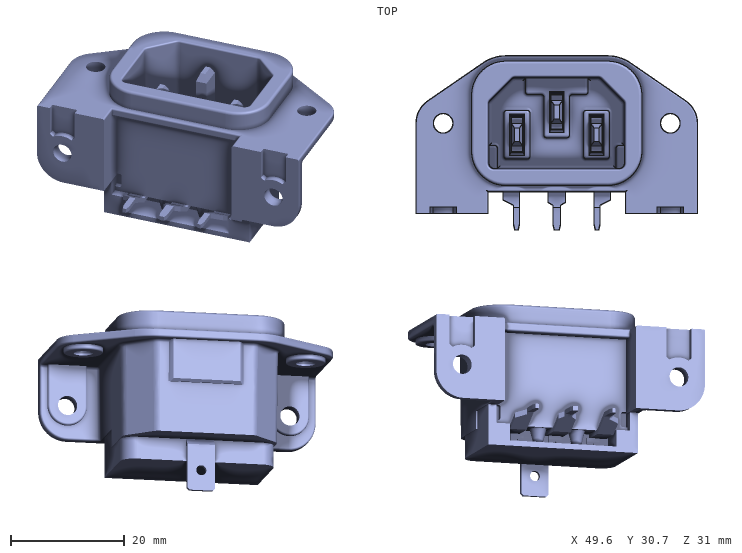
import cadquery as cq
import math


tolerance = 0.01

flange_width = 49.6
flange_thickness = 1.5
flange_edge_radius = 0.3
flange_back_margin = 0.95
tab_front_y = -15.9
tab_thickness = 1.75
tab_height = 14.8
tab_corner_radius = 5.0
tab_gap_width = 24.2
tab_gap_back_y = -12.05
tab_back_y = tab_front_y + tab_thickness

hole_x = 20.0
flange_hole_diameter = 3.4
tab_hole_diameter = 3.45
tab_hole_z = -8.78
pad_diameter = 7.0
pad_thickness = 0.9
tab_pad_thickness = 0.65
pad_edge_radius = 0.3
nut_slot_width = 4.7
nut_slot_depth = 1.2
nut_slot_side_z = -5.3
nut_slot_floor_half_width = 1.75

rim_height = 3.5
rim_length = 30.0
rim_width = 21.9
rim_corner_radius = 6.0
rim_edge_radius = 0.5

shell_width = 28.3
shell_back_y = 10.05
shell_front_y = -10.0
shell_height = 18.05
shell_draft = 0.7
shell_chamfer = 5.2
shell_back_radius = 1.6
shell_side_radius = 2.3
joint_radius = 0.5
latch_width = 12.0
latch_depth = 0.65
latch_bottom_z = -9.05
latch_step = 0.45

cavity_length = 24.2
cavity_width = 16.3
cavity_draft = 0.7
cavity_floor_z = -13.0
cavity_chamfer = 4.4
cavity_chamfer_radius = 1.0
cavity_corner_radius = 1.1
cavity_edge_radius = 0.3
floor_radius = 0.5

island_height = 1.0
island_corner_radius = 0.5
island_edge_radius = 0.45
line_island_width = 4.55
line_island_depth = 8.6
earth_island_head_width = 11.0
earth_island_head_y = 5.05
earth_island_stem_width = 4.5
earth_island_stem_y = -2.55
corner_island_inner_x = 10.45
corner_island_back_y = -3.9

base_width = 27.6
base_bottom_z = -22.0
base_front_y = -11.6
base_back_y = 4.4
base_corner_radius = 2.5
cheek_inner_x = 12.35
cheek_back_y = -5.05
cheek_gap = 0.35
plug_front_y = -8.4
plug_back_y = 5.2
lock_notch_width = 1.25
lock_notch_top_z = -14.5
lock_notch_bottom_z = -17.2
lock_notch_depth = 0.8
lock_notch_radius = 0.4

recess_width = 19.65
recess_floor_z = -21.05
recess_back_y = -6.5
upper_recess_width = 13.0
upper_recess_height = 0.85
upper_recess_depth = 0.6
post_x = 3.55
post_y = -8.0
post_top_diameter = 3.0
post_bottom_diameter = 1.5
post_bottom_z = -20.9
root_plate_width = 2.3
root_plate_bottom_z = -20.6
root_plate_proud = 0.3
root_notch_width = 1.3
root_notch_height = 0.8

line_pin_x = 7.0
line_pin_y = -2.0
earth_pin_y = 2.0
pin_thickness = 2.0
pin_width = 4.0
pin_tip_thickness = 0.9
pin_tip_width = 2.4
pin_tip_height = 1.4
line_pin_top_z = -0.25
earth_pin_top_z = 2.7
pin_root_width = 6.0
pin_root_top_z = -12.6
pin_slot_width = 2.6
pin_slot_length = 7.25
pin_slot_bottom_width = 2.2
pin_slot_bottom_length = 6.2

strip_thickness = 0.8
strip_root_z = -shell_height - strip_thickness / 2
terminal_tip_y = -18.82
terminal_tip_z = -16.05
terminal_bend_y = -14.95
terminal_root_bend_y = -10.7
terminal_narrow_y = -14.45
terminal_tip_taper_length = 1.05
terminal_tip_taper = 0.25
line_terminal_inner_x = 6.54
line_terminal_outer_x = 9.5
line_terminal_narrow_width = 1.1
line_terminal_shoulder_y = -13.5
earth_terminal_width = 3.15
earth_terminal_narrow_width = 1.4
earth_terminal_shoulder_y = -13.9
earth_blade_y = 5.44
earth_blade_bottom_z = -27.5
earth_blade_width = 5.0
earth_blade_bend_z = -19.4
earth_blade_chamfer = 0.4
earth_blade_hole_diameter = 1.8
earth_blade_hole_z = -23.9


def block(x_range, y_range, z_range):
    """Axis-aligned box between the given limits."""
    size = [high - low for low, high in (x_range, y_range, z_range)]
    corner = cq.Vector(x_range[0], y_range[0], z_range[0])
    return cq.Workplane(cq.Solid.makeBox(*size, pnt=corner))


def socket_outline(width, front_y, back_y, chamfer, back_radius, side_radius):
    """Rectangle whose back (+Y) corners are cut at 45 degrees, with the cut corners rounded."""
    x = width / 2
    shoulder_y = back_y - chamfer
    points = [(-x, front_y), (x, front_y), (x, shoulder_y), (x - chamfer, back_y)]
    points += [(chamfer - x, back_y), (-x, shoulder_y), (-x, front_y)]
    sketch = cq.Sketch().polygon(points)
    sketch = sketch.vertices(">Y").fillet(back_radius).reset()
    shoulders = cq.selectors.BoxSelector(
        (-width, shoulder_y - tolerance, -tolerance), (width, shoulder_y + tolerance, tolerance)
    )
    return sketch.vertices(shoulders).fillet(side_radius).reset()


def mirror_pair(body):
    """The body together with its mirror image across the YZ plane."""
    return body.union(body.mirror("YZ"))


def flange_plate():
    """Flange whose sloped sides are tangent to arcs around the rim corner and the screw hole."""
    side_x = flange_width / 2
    end_radius = side_x - hole_x
    arc_x = rim_length / 2 - rim_corner_radius
    arc_y = rim_width / 2 - rim_corner_radius
    arc_radius = rim_corner_radius + flange_back_margin
    centre_angle = math.atan2(arc_y, hole_x - arc_x)
    tangent_angle = math.asin((arc_radius - end_radius) / math.hypot(arc_y, hole_x - arc_x))
    normal = math.pi / 2 - centre_angle - tangent_angle

    def on_end_arc(angle):
        return (hole_x + end_radius * math.cos(angle), end_radius * math.sin(angle))

    def on_rim_arc(angle):
        return (arc_x + arc_radius * math.cos(angle), arc_y + arc_radius * math.sin(angle))

    half_plate = (
        cq.Workplane("XY")
        .moveTo(0, tab_gap_back_y)
        .lineTo(tab_gap_width / 2, tab_gap_back_y)
        .lineTo(tab_gap_width / 2, tab_front_y)
        .lineTo(side_x, tab_front_y)
        .lineTo(*on_end_arc(0))
        .threePointArc(on_end_arc(normal / 2), on_end_arc(normal))
        .lineTo(*on_rim_arc(normal))
        .threePointArc(on_rim_arc((normal + math.pi / 2) / 2), on_rim_arc(math.pi / 2))
        .lineTo(0, arc_y + arc_radius)
        .close()
        .extrude(-flange_thickness)
    )
    return mirror_pair(half_plate)


def mounting_tab():
    """Upright tab on the +X side, with its lower outer corner rounded."""
    tab = block(
        (tab_gap_width / 2, flange_width / 2), (tab_front_y, tab_back_y), (-tab_height, 0)
    )
    return tab.edges("|Y and >X and <Z").fillet(tab_corner_radius)


def shell():
    """Drafted outer body of the socket with two side webs that reach forward into the tabs."""
    web_front_y = tab_back_y - tab_thickness / 2
    outline = socket_outline(
        shell_width, web_front_y, shell_back_y, shell_chamfer, shell_back_radius, shell_side_radius
    )
    top_z = -flange_thickness / 2
    body = cq.Workplane("XY", origin=(0, 0, top_z)).placeSketch(outline)
    body = body.extrude(-shell_height - top_z, taper=shell_draft)
    gap = block(
        (-tab_gap_width / 2, tab_gap_width / 2), (tab_front_y, shell_front_y), (-shell_height, 0)
    )
    below_webs = block(
        (-shell_width, shell_width), (tab_front_y, shell_front_y), (-shell_height, -tab_height)
    )
    return body.cut(gap).cut(below_webs)


def rear_latch():
    """Raised pad with bevelled flanks and a bevelled lower end on the back of the shell."""
    inner_y = shell_back_y - latch_depth
    outer_y = shell_back_y + latch_depth
    outer_x = latch_width / 2
    inner_x = outer_x + outer_y - inner_y
    plan = [(-inner_x, inner_y), (inner_x, inner_y), (outer_x, outer_y), (-outer_x, outer_y)]
    pad = cq.Workplane("XY", origin=(0, 0, latch_bottom_z)).polyline(plan).close()
    pad = pad.extrude(-latch_bottom_z - flange_thickness / 2)
    return pad.faces(">Y").edges("<Z").chamfer(latch_step)


def screw_pads():
    """Round pads under the flange holes and U-shaped pads behind the tab holes (+X side)."""
    pad = (
        cq.Workplane("XY", origin=(hole_x, 0, -flange_thickness))
        .circle(pad_diameter / 2)
        .extrude(-pad_thickness)
    )
    pad = pad.faces("<Z").edges().fillet(pad_edge_radius)
    tab_pad = (
        cq.Workplane("XZ", origin=(hole_x, tab_back_y, tab_hole_z))
        .circle(pad_diameter / 2)
        .extrude(-tab_pad_thickness)
    )
    half = pad_diameter / 2
    stem = block(
        (hole_x - half, hole_x + half),
        (tab_back_y, tab_back_y + tab_pad_thickness),
        (tab_hole_z, -flange_thickness),
    )
    tab_pad = tab_pad.union(stem)
    tab_pad = tab_pad.faces(">Y").edges("not >Z").fillet(pad_edge_radius)
    return pad.union(tab_pad)


def screw_cuts():
    """Flange hole, tab hole and nut slot on the +X side."""
    flange_hole = (
        cq.Workplane("XY", origin=(hole_x, 0, 0))
        .circle(flange_hole_diameter / 2)
        .extrude(-flange_thickness - pad_thickness)
    )
    front = cq.Workplane("XZ", origin=(hole_x, tab_front_y, 0))
    tab_hole = (
        front.center(0, tab_hole_z)
        .circle(tab_hole_diameter / 2)
        .extrude(-tab_thickness - tab_pad_thickness)
    )
    x = nut_slot_width / 2
    arc_x = nut_slot_floor_half_width
    arc_radius = pad_diameter / 2
    arc_end_z = tab_hole_z + math.sqrt(arc_radius**2 - arc_x**2)
    slot = (
        front.moveTo(-x, 0)
        .lineTo(-x, nut_slot_side_z)
        .lineTo(-arc_x, arc_end_z)
        .threePointArc((0, tab_hole_z + arc_radius), (arc_x, arc_end_z))
        .lineTo(x, nut_slot_side_z)
        .lineTo(x, 0)
        .close()
        .extrude(-nut_slot_depth)
    )
    return flange_hole.union(tab_hole).union(slot)


def rim():
    """Raised socket rim above the flange."""
    body = cq.Workplane("XY").rect(rim_length, rim_width).extrude(rim_height)
    body = body.edges("|Z").fillet(rim_corner_radius)
    return body.faces(">Z").edges().fillet(rim_edge_radius)


def floor_islands():
    """Raised pads on the cavity floor: two line pads, the T-shaped earth pad and two corner pads."""
    z_range = (cavity_floor_z, cavity_floor_z + island_height)
    wall_x = cavity_length / 2
    wall_y = cavity_width / 2
    wall_overlap = 2.0

    half_line = line_island_width / 2
    half_depth = line_island_depth / 2
    line_pad = block(
        (line_pin_x - half_line, line_pin_x + half_line),
        (line_pin_y - half_depth, line_pin_y + half_depth),
        z_range,
    ).edges("|Z").fillet(island_corner_radius)

    corner_pad = block(
        (corner_island_inner_x, wall_x + wall_overlap),
        (-wall_y - wall_overlap, corner_island_back_y),
        z_range,
    ).edges("|Z and <X and >Y").fillet(island_corner_radius)

    half_head = earth_island_head_width / 2
    half_stem = earth_island_stem_width / 2
    earth_pad = block((-half_head, half_head), (earth_island_head_y, wall_y + wall_overlap), z_range)
    earth_pad = earth_pad.union(
        block((-half_stem, half_stem), (earth_island_stem_y, wall_y), z_range)
    )
    earth_pad = earth_pad.edges("|Z").edges("not >Y").fillet(island_corner_radius)

    return [line_pad, line_pad.mirror("YZ"), corner_pad, corner_pad.mirror("YZ"), earth_pad]


def cavity():
    """Space inside the socket, leaving the islands standing on its floor."""
    outline = socket_outline(
        cavity_length,
        -cavity_width / 2,
        cavity_width / 2,
        cavity_chamfer,
        cavity_chamfer_radius,
        cavity_chamfer_radius,
    )
    outline = outline.vertices("<Y").fillet(cavity_corner_radius).reset()
    space = cq.Workplane("XY", origin=(0, 0, rim_height)).placeSketch(outline)
    space = space.extrude(cavity_floor_z - rim_height, taper=cavity_draft)
    for island in floor_islands():
        rounded = island.faces(">Z").edges().fillet(island_edge_radius)
        space = space.cut(rounded)
    return space.faces("<Z").edges().fillet(floor_radius)


def pin_positions():
    """Plan position and tip height of the three contact pins."""
    return [
        (-line_pin_x, line_pin_y, line_pin_top_z),
        (0, earth_pin_y, earth_pin_top_z),
        (line_pin_x, line_pin_y, line_pin_top_z),
    ]


def pin_slot(x, y):
    """Slot through an island and the floor that narrows downward around a pin root."""
    top_z = cavity_floor_z + island_height
    slot = cq.Workplane("XY", origin=(x, y, top_z)).rect(pin_slot_width, pin_slot_length)
    slot = slot.workplane(offset=-tab_height - top_z)
    return slot.rect(pin_slot_bottom_width, pin_slot_bottom_length).loft()


def insert_space():
    """Pocket under the cavity floor and side notches that receive the insert."""
    pocket = block(
        (-cheek_inner_x, cheek_inner_x), (plug_front_y, plug_back_y), (-shell_height, -tab_height)
    )
    notch = block(
        (cheek_inner_x, shell_width / 2),
        (shell_front_y, cheek_back_y + cheek_gap),
        (-shell_height, -tab_height),
    )
    return pocket.union(mirror_pair(notch))


def lock_notch():
    """Rounded notch in the lower front corner of the shell on the +X side."""
    inner_x = cheek_inner_x - lock_notch_width
    notch = block(
        (inner_x, cheek_inner_x),
        (shell_front_y, shell_front_y + lock_notch_depth),
        (lock_notch_bottom_z, lock_notch_top_z),
    )
    notch = notch.edges("|Y and <X").fillet(lock_notch_radius)
    return notch.faces(">Y").edges("not >X").fillet(lock_notch_radius / 2)


def behind_tab_front(edge):
    """True for the flange edges that are rounded: all but those on the front of the tabs."""
    return edge.Center().y > tab_front_y + flange_edge_radius


def is_under_flange(edge):
    """True for edges that lie in the flange's lower face."""
    box = edge.BoundingBox()
    return abs(box.zmin + flange_thickness) < tolerance and abs(box.zmax + flange_thickness) < tolerance


def inside_corner(edge):
    """True for the edges where the flange meets the backs of the tabs."""
    return is_under_flange(edge) and abs(edge.Center().y - tab_back_y) < joint_radius / 2


def flange_bottom_edge(edge):
    """True for the lower outline of the flange behind the tabs."""
    return is_under_flange(edge) and edge.Center().y > tab_back_y + joint_radius + tolerance


def joint_edge(edge):
    """True for the inside edges where the flange meets the sides and back of the shell."""
    centre = edge.Center()
    is_on_shell = abs(centre.x) < shell_width / 2 and centre.y < shell_back_y
    is_at_gap = centre.y < shell_front_y + tolerance and abs(centre.x) < tab_gap_width / 2 + tolerance
    return is_under_flange(edge) and is_on_shell and not is_at_gap


def build_housing():
    plate = flange_plate().union(mirror_pair(mounting_tab()))
    plate = plate.edges().filter(inside_corner).fillet(joint_radius)
    plate = plate.edges().filter(flange_bottom_edge).fillet(flange_edge_radius)
    plate = plate.faces(">Z").edges().filter(behind_tab_front).fillet(flange_edge_radius)
    housing = plate.union(shell())
    housing = housing.edges().filter(joint_edge).fillet(joint_radius)
    housing = housing.union(rear_latch()).union(mirror_pair(screw_pads())).union(rim())
    housing = housing.cut(cavity())
    opening = housing.faces(">Z").val().innerWires()[0]
    housing = housing.newObject(opening.Edges()).fillet(cavity_edge_radius)
    housing = housing.cut(insert_space()).cut(mirror_pair(screw_cuts())).cut(mirror_pair(lock_notch()))
    for x, y, _ in pin_positions():
        housing = housing.cut(pin_slot(x, y))
    return housing


def bent_strip(path, width, centre_x=0.0):
    """Sheet-metal strip of constant thickness that follows a path of (y, z) points."""
    directions = [math.atan2(b[1] - a[1], b[0] - a[0]) for a, b in zip(path, path[1:])]
    starts = [directions[0]] + directions
    ends = directions + [directions[-1]]
    left = []
    right = []
    for (y, z), before, after in zip(path, starts, ends):
        normal = (before + after + math.pi) / 2
        reach = strip_thickness / 2 / math.cos((after - before) / 2)
        dy = reach * math.cos(normal)
        dz = reach * math.sin(normal)
        left.append((y + dy, z + dz))
        right.append((y - dy, z - dz))
    outline = cq.Workplane("YZ", origin=(centre_x - width / 2, 0, 0))
    return outline.polyline(left + right[::-1]).close().extrude(width)


def terminal(wide_x, narrow_x, shoulder_y):
    """Bent solder terminal that steps down from the wide to the narrow X range."""
    path = [
        (terminal_tip_y, terminal_tip_z),
        (terminal_bend_y, terminal_tip_z),
        (terminal_root_bend_y, strip_root_z),
        (recess_back_y + upper_recess_depth, strip_root_z),
    ]
    strip = bent_strip(path, wide_x[1] - wide_x[0], sum(wide_x) / 2)
    root_y = path[-1][0]
    taper_y = terminal_tip_y + terminal_tip_taper_length
    outline = [
        (wide_x[0], root_y),
        (wide_x[0], shoulder_y),
        (narrow_x[0], terminal_narrow_y),
        (narrow_x[0], taper_y),
        (narrow_x[0] + terminal_tip_taper, terminal_tip_y),
        (narrow_x[1] - terminal_tip_taper, terminal_tip_y),
        (narrow_x[1], taper_y),
        (narrow_x[1], terminal_narrow_y),
        (wide_x[1], shoulder_y),
        (wide_x[1], root_y),
    ]
    plan = cq.Workplane("XY", origin=(0, 0, base_bottom_z)).polyline(outline).close()
    return strip.intersect(plan.extrude(-base_bottom_z))


def terminals():
    """Earth terminal in the middle and a mirrored pair of line terminals."""
    half_wide = earth_terminal_width / 2
    half_narrow = earth_terminal_narrow_width / 2
    earth = terminal((-half_wide, half_wide), (-half_narrow, half_narrow), earth_terminal_shoulder_y)
    line = terminal(
        (line_terminal_inner_x, line_terminal_outer_x),
        (line_terminal_inner_x, line_terminal_inner_x + line_terminal_narrow_width),
        line_terminal_shoulder_y,
    )
    return [earth, line, line.mirror("YZ")]


def earth_blade():
    """Earth blade that leaves the back of the base and bends down."""
    path = [
        (base_back_y - 2, strip_root_z),
        (base_back_y, strip_root_z),
        (earth_blade_y, earth_blade_bend_z),
        (earth_blade_y, earth_blade_bottom_z),
    ]
    blade = bent_strip(path, earth_blade_width)
    blade = blade.faces("<Z").edges("|Y").chamfer(earth_blade_chamfer)
    hole = (
        cq.Workplane("XZ", origin=(0, earth_blade_y - strip_thickness, earth_blade_hole_z))
        .circle(earth_blade_hole_diameter / 2)
        .extrude(-2 * strip_thickness)
    )
    return blade.cut(hole)


def contact_pin(x, y, top_z):
    """Flat pin with a tapered tip and a wider root."""
    shoulder_z = top_z - pin_tip_height
    foot_z = -shell_height
    shaft = (
        cq.Workplane("XY", origin=(x, y, foot_z))
        .rect(pin_thickness, pin_width)
        .extrude(shoulder_z - foot_z)
    )
    tip = (
        cq.Workplane("XY", origin=(x, y, shoulder_z))
        .rect(pin_thickness, pin_width)
        .workplane(offset=pin_tip_height)
        .rect(pin_tip_thickness, pin_tip_width)
        .loft()
    )
    root = (
        cq.Workplane("XY", origin=(x, y, foot_z))
        .rect(pin_thickness, pin_root_width)
        .extrude(pin_root_top_z - foot_z)
    )
    return shaft.union(tip).union(root)


def front_recess():
    """Recess around the terminal roots, with its upper step."""
    half = recess_width / 2
    half_upper = upper_recess_width / 2
    recess = block((-half, half), (base_front_y, recess_back_y), (recess_floor_z, -shell_height))
    recess = recess.union(
        block(
            (-half_upper, half_upper),
            (recess_back_y, recess_back_y + upper_recess_depth),
            (-shell_height - upper_recess_height, -shell_height),
        )
    )
    return recess


def tapered_post(x):
    """Conical post hanging from the plug into the recess between two terminals."""
    post = cq.Workplane("XY", origin=(x, post_y, -shell_height)).circle(post_top_diameter / 2)
    post = post.workplane(offset=post_bottom_z + shell_height).circle(post_bottom_diameter / 2)
    return post.loft()


def root_plate(x):
    """Plate on the back wall of the recess, with a V notch in its lower edge."""
    half = root_plate_width / 2
    half_notch = root_notch_width / 2
    top_z = -shell_height - strip_thickness
    outline = [
        (-half, top_z),
        (-half, root_plate_bottom_z),
        (-half_notch, root_plate_bottom_z),
        (0, root_plate_bottom_z + root_notch_height),
        (half_notch, root_plate_bottom_z),
        (half, root_plate_bottom_z),
        (half, top_z),
    ]
    plate = cq.Workplane("XZ", origin=(x, recess_back_y, 0)).polyline(outline).close()
    return plate.extrude(root_plate_proud)


def build_insert():
    half = base_width / 2
    base = block((-half, half), (base_front_y, base_back_y), (base_bottom_z, -shell_height))
    base = base.edges("|Z and >Y").fillet(base_corner_radius)
    cheek = block((cheek_inner_x, half), (base_front_y, cheek_back_y), (-shell_height, -tab_height))
    plug = block(
        (-cheek_inner_x, cheek_inner_x), (plug_front_y, plug_back_y), (-shell_height, -tab_height)
    )
    insert = base.cut(front_recess()).union(mirror_pair(cheek)).union(plug).union(earth_blade())
    for x, y, top_z in pin_positions():
        insert = insert.union(contact_pin(x, y, top_z)).union(root_plate(x))
    for x in (-post_x, post_x):
        insert = insert.union(tapered_post(x))
    for strip in terminals():
        insert = insert.union(strip)
    return insert


housing = build_housing()
insert = build_insert()
result = cq.Compound.makeCompound([housing.val(), insert.val()])